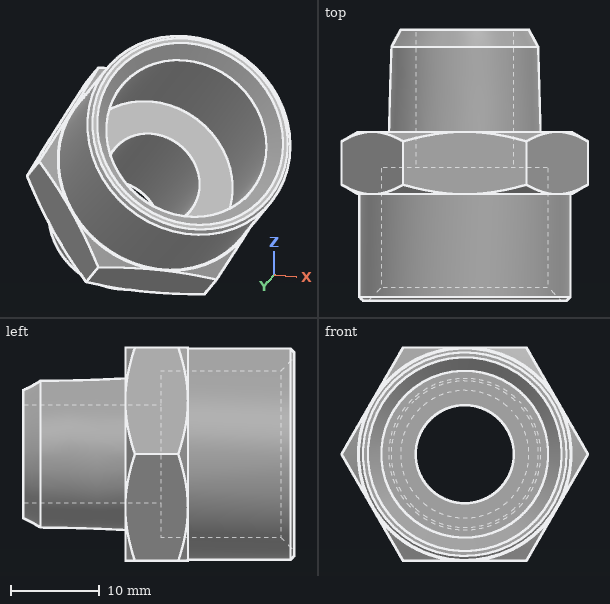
import cadquery as cq
import math

socket_length = 12.0
hex_length = 7.0
spigot_length = 11.5
spigot_chamfer_length = 1.98
total_length = socket_length + hex_length + spigot_length

across_flats = 24.0
hex_chamfer_angle = 30

socket_diameter = 23.8
socket_chamfer = 0.45
socket_bore_diameter = 18.75
mouth_diameter = 21.78
mouth_half_angle = 45
socket_depth = 15.0

spigot_base_diameter = 17.08
spigot_end_diameter = 16.53
spigot_tip_diameter = 14.4
bore_diameter = 11.0

hex_start = socket_length
hex_end = hex_start + hex_length
spigot_chamfer_start = total_length - spigot_chamfer_length
mouth_depth = (mouth_diameter - socket_bore_diameter) / 2 / math.tan(math.radians(mouth_half_angle))


def revolve_profile(points):
    """Revolve a closed (radius, y) outline about the Y axis."""
    return cq.Workplane("XY").polyline(points).close().revolve(360, (0, 0, 0), (0, 1, 0))


def make_hexagon():
    """Hexagonal nut section with conical chamfers on both faces."""
    corner_radius = across_flats / 2 / math.cos(math.pi / 6)
    chamfer_radius = across_flats / 2
    chamfer_length = (corner_radius - chamfer_radius) * math.tan(math.radians(hex_chamfer_angle))
    prism = (
        cq.Workplane("XZ", origin=(0, hex_end, 0))
        .polygon(6, 2 * corner_radius)
        .extrude(hex_length)
    )
    envelope = revolve_profile([
        (0, hex_start),
        (chamfer_radius, hex_start),
        (corner_radius, hex_start + chamfer_length),
        (corner_radius, hex_end - chamfer_length),
        (chamfer_radius, hex_end),
        (0, hex_end),
    ])
    return prism.intersect(envelope)


def make_body():
    """Socket and spigot as one solid of revolution."""
    socket_radius = socket_diameter / 2
    return revolve_profile([
        (0, 0),
        (socket_radius - socket_chamfer, 0),
        (socket_radius, socket_chamfer),
        (socket_radius, hex_start),
        (spigot_base_diameter / 2, hex_end),
        (spigot_end_diameter / 2, spigot_chamfer_start),
        (spigot_tip_diameter / 2, total_length),
        (0, total_length),
    ])


def make_cavity():
    """Countersunk mouth, flat-bottomed socket and through bore."""
    return revolve_profile([
        (0, 0),
        (mouth_diameter / 2, 0),
        (socket_bore_diameter / 2, mouth_depth),
        (socket_bore_diameter / 2, socket_depth),
        (bore_diameter / 2, socket_depth),
        (bore_diameter / 2, total_length),
        (0, total_length),
    ])


part = make_body().union(make_hexagon()).cut(make_cavity())
result = part.translate((0, -total_length / 2, 0))